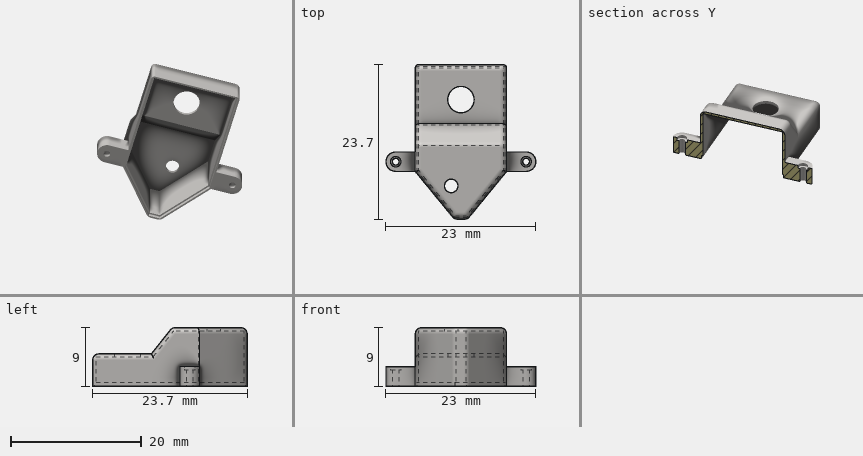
import cadquery as cq

length = 23.7
body_width = 14.0
high_height = 9.0
low_height = 5.0
wall = 0.5

rim_wall = 0.25
rim_height = 0.62

back_y = length / 2
front_y = -length / 2
shoulder_y = back_y - 16.38
nose_width = 2.0

ramp_bottom_y = back_y - 9.0
ramp_top_y = back_y - 12.18

top_radius = 1.0
nose_radius = 1.0
back_corner_radius = 0.5

large_hole_diameter = 4.0
large_hole_y = back_y - 5.35
small_hole_diameter = 2.05
small_hole_x = -1.5
small_hole_y = back_y - 18.58

ear_width = 3.0
ear_height = 3.0
ear_span = 23.0
ear_y = shoulder_y + ear_width / 2
ear_hole_x = (ear_span - ear_width) / 2
ear_hole_diameter = 1.0
counterbore_diameter = 1.6
counterbore_depth = 0.5


def make_block(inset):
    """Stepped block with sharp edges, inset from the outer sides and decks but not from the base."""
    half_width = body_width / 2
    half_nose = nose_width / 2
    plan = (
        cq.Workplane("XY")
        .polyline([
            (-half_width, back_y),
            (half_width, back_y),
            (half_width, shoulder_y),
            (half_nose, front_y),
            (-half_nose, front_y),
            (-half_width, shoulder_y),
        ])
        .close()
    )
    profile = (
        cq.Workplane("YZ")
        .polyline([
            (back_y, -inset),
            (back_y, low_height),
            (ramp_bottom_y, low_height),
            (ramp_top_y, high_height),
            (front_y, high_height),
            (front_y, -inset),
        ])
        .close()
    )
    if inset > 0:
        plan = plan.offset2D(-inset, "intersection")
        profile = profile.offset2D(-inset, "intersection")
    return plan.extrude(high_height).intersect(profile.extrude(half_width, both=True))


def round_outside(block):
    """Round the nose, the back corners and every top edge except the concave crease."""
    block = block.edges("|Z and <Y").fillet(nose_radius)
    block = block.edges("|Z and >Y").fillet(back_corner_radius)
    ramp_bottom = cq.Vector(0, ramp_bottom_y, low_height)
    top_edges = [
        edge for edge in block.edges("not |Z").vals()
        if edge.Center().z > low_height / 2 and (edge.Center() - ramp_bottom).Length > top_radius
    ]
    return block.newObject(top_edges).fillet(top_radius)


def make_ear(side):
    """Round-ended mounting ear; side is -1 for the -X ear and +1 for the +X ear."""
    inner_x = body_width / 2 - wall
    straight_length = ear_hole_x - inner_x
    straight = cq.Workplane("XY").box(straight_length, ear_width, ear_height, centered=(True, True, False))
    straight = straight.translate((side * (inner_x + straight_length / 2), ear_y, 0))
    hole_center = (side * ear_hole_x, ear_y)
    round_end = cq.Workplane("XY").center(*hole_center).circle(ear_width / 2).extrude(ear_height)
    return (
        straight.union(round_end)
        .faces(">Z")
        .workplane(origin=(*hole_center, ear_height))
        .cboreHole(ear_hole_diameter, counterbore_diameter, counterbore_depth)
    )


def make_deck_hole(diameter, x, y):
    """Vertical cutter for a hole through a deck."""
    return cq.Workplane("XY").center(x, y).circle(diameter / 2).extrude(high_height)


def make_cavity():
    """Inside of the shell, widened just above the base to leave a thin rim."""
    below_rim_top = cq.Workplane("XY").box(ear_span, length, rim_height, centered=(True, True, False))
    return make_block(wall).union(make_block(rim_wall).intersect(below_rim_top))


result = round_outside(make_block(0))
for side in (-1, 1):
    result = result.union(make_ear(side))
result = (
    result.cut(make_cavity())
    .cut(make_deck_hole(large_hole_diameter, 0, large_hole_y))
    .cut(make_deck_hole(small_hole_diameter, small_hole_x, small_hole_y))
)